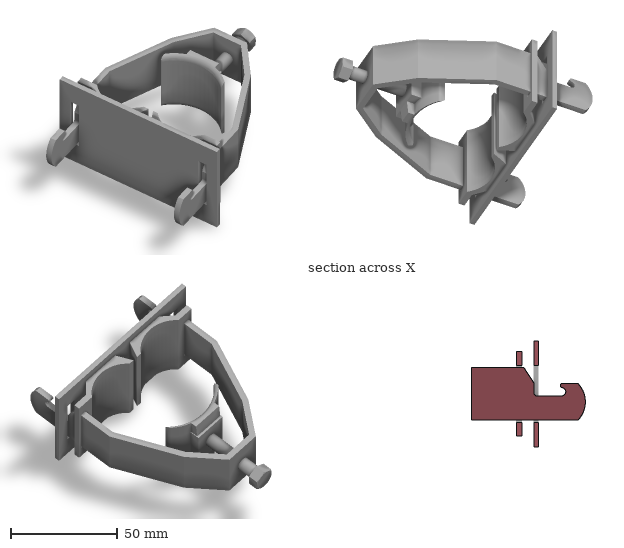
import cadquery as cq
import math


plate_width = 88.5
plate_height = 50.0
plate_thickness = 2.5

strap_thickness = 3.0
strap_height = 25.0
strap_half_width = 37.4
strap_top_y = 76.7
strap_top_half_width = 9.2
strap_bend_y = 59.8
strap_bend_half_width = 22.5
strap_leg_y = 26.0

hook_tip_y = -24.5
hook_edge_y = -20.9
hook_top_z = 5.1
hook_tongue_y = -12.5
shank_top_z = -0.8
notch_radius = 1.8
notch_center_y = -13.2
shoulder_y = 4.5
shoulder_end_y = -0.3
shoulder_end_z = 5.1
shank_fillet = 1.2

slot_height = 26.7
plate_slot_width = 5.0

saddle_length = 40.0
saddle_height = 8.2
saddle_outer_x = 39.2
saddle_inner_x = 1.3
saddle_flange_thickness = 3.0
saddle_flange_inner_x = 31.2
saddle_foot_outer_x = 25.5
saddle_foot_inner_x = 5.1
trough_center_x = 17.0
trough_half_width = 13.1
trough_depth = 6.2

bolt_diameter = 6.6
bolt_end_y = 90.7
bolt_head_length = 5.3
bolt_head_flats = 10.0
bolt_neck_radius = 3.9
bolt_neck_length = 0.9
bolt_head_chamfer_angle = 30

pad_back_y = 56.2
pad_bore_radius = 22.3
pad_bore_apex_y = 50.5
pad_wall = 2.1
pad_half_width = 17.0
pad_end_y = 43.0
pad_height = 33.9
pad_end_fillet = 1.7
pad_lip_radius = 3.0
block_width = 16.8
block_height = 19.6
lug_width = 16.1
lug_back_y = 55.1
tongue_width = 6.7
pad_draft_angle = 6

leg_center_x = strap_half_width - strap_thickness / 2
pad_center_y = pad_bore_apex_y - pad_bore_radius


def box(x_range, y_range, z_range):
    """Box between pairs of limits along X, Y and Z."""
    size = [high - low for low, high in (x_range, y_range, z_range)]
    corner = (x_range[0], y_range[0], z_range[0])
    return cq.Workplane("XY").box(*size, centered=False).translate(corner)


def slot_cutter(center_x, width, y_range):
    """Block for a slot along Y, centred on Z = 0."""
    return box(
        (center_x - width / 2, center_x + width / 2),
        y_range,
        (-slot_height / 2, slot_height / 2),
    )


def make_plate():
    plate = box(
        (-plate_width / 2, plate_width / 2),
        (-plate_thickness, 0),
        (-plate_height / 2, plate_height / 2),
    )
    for side in (-1, 1):
        plate = plate.cut(slot_cutter(side * leg_center_x, plate_slot_width, (-plate_thickness, 0)))
    return plate


def make_leg_outline():
    """Side shape of the strap in the YZ plane, with the hook at its -Y end."""
    half_height = strap_height / 2
    notch_center_z = shank_top_z + notch_radius
    notch_top_z = notch_center_z + notch_radius
    tongue_radius = (hook_top_z - notch_top_z) / 2
    tongue_center_y = hook_tongue_y - tongue_radius
    nose_middle_z = (hook_top_z - half_height) / 2
    outline = (
        cq.Workplane("YZ")
        .moveTo(strap_top_y, -half_height)
        .lineTo(strap_top_y, half_height)
        .lineTo(shoulder_y, half_height)
        .lineTo(shoulder_end_y, shoulder_end_z)
        .lineTo(shoulder_end_y, shank_top_z + shank_fillet)
        .radiusArc((shoulder_end_y - shank_fillet, shank_top_z), shank_fillet)
        .lineTo(notch_center_y, shank_top_z)
        .threePointArc(
            (notch_center_y - notch_radius, notch_center_z),
            (notch_center_y, notch_top_z),
        )
        .lineTo(tongue_center_y, notch_top_z)
        .threePointArc(
            (hook_tongue_y, notch_top_z + tongue_radius),
            (tongue_center_y, hook_top_z),
        )
        .lineTo(hook_edge_y, hook_top_z)
        .threePointArc((hook_tip_y, nose_middle_z), (hook_edge_y, -half_height))
        .close()
    )
    return outline.extrude(strap_half_width, both=True)


def make_strap():
    right_side = [
        (strap_half_width, strap_leg_y),
        (strap_bend_half_width, strap_bend_y),
        (strap_top_half_width, strap_top_y),
    ]
    left_side = [(-x, y) for x, y in reversed(right_side)]
    closing_y = hook_tip_y - strap_thickness
    corners = [(strap_half_width, closing_y)] + right_side + left_side + [(-strap_half_width, closing_y)]
    outer = cq.Workplane("XY").polyline(corners).close()
    inner = cq.Workplane("XY").polyline(corners).close().offset2D(-strap_thickness, "intersection")
    bent_bar = outer.extrude(strap_height / 2, both=True).cut(inner.extrude(strap_height / 2, both=True))
    return bent_bar.intersect(make_leg_outline()).cut(make_bolt())


def make_saddle(side):
    """Lower saddle on the +X (side = 1) or -X (side = -1) half."""
    trough_left = trough_center_x - trough_half_width
    trough_right = trough_center_x + trough_half_width
    saddle = (
        cq.Workplane("XY")
        .moveTo(saddle_foot_inner_x, 0)
        .lineTo(saddle_inner_x, saddle_height)
        .lineTo(trough_left, saddle_height)
        .threePointArc((trough_center_x, saddle_height - trough_depth), (trough_right, saddle_height))
        .lineTo(saddle_outer_x, saddle_height)
        .lineTo(saddle_outer_x, saddle_height - saddle_flange_thickness)
        .lineTo(saddle_flange_inner_x, saddle_height - saddle_flange_thickness)
        .lineTo(saddle_foot_outer_x, 0)
        .close()
        .extrude(saddle_length / 2, both=True)
        .cut(slot_cutter(leg_center_x, strap_thickness, (0, saddle_height)))
    )
    return saddle if side > 0 else saddle.mirror("YZ")


def make_bolt():
    """Hexagon bolt along Y, with its end resting on the back of the pad."""
    head_y = bolt_end_y - bolt_head_length
    flat_radius = bolt_head_flats / 2
    corner_radius = flat_radius / math.cos(math.radians(30))
    chamfer_drop = (corner_radius - flat_radius) * math.tan(math.radians(bolt_head_chamfer_angle))
    shank_radius = bolt_diameter / 2

    hexagon = (
        cq.Workplane("XZ", origin=(0, head_y, 0))
        .transformed(rotate=(0, 0, 90))
        .polygon(6, 2 * corner_radius)
        .extrude(-bolt_head_length)
    )
    crown = (
        cq.Workplane("XY")
        .polyline([
            (0, head_y),
            (corner_radius, head_y),
            (corner_radius, bolt_end_y - chamfer_drop),
            (flat_radius, bolt_end_y),
            (0, bolt_end_y),
        ])
        .close()
        .revolve(360, (0, 0, 0), (0, 1, 0))
    )
    shank = (
        cq.Workplane("XY")
        .polyline([
            (0, pad_back_y),
            (shank_radius, pad_back_y),
            (shank_radius, head_y - bolt_neck_length),
            (bolt_neck_radius, head_y),
            (0, head_y),
        ])
        .close()
        .revolve(360, (0, 0, 0), (0, 1, 0))
    )
    return hexagon.intersect(crown).union(shank)


def make_pad_rib(width, root_back_y, end_z):
    """Drafted rib from Z = 0 to end_z; its back starts to slope at the block's end face."""
    root_z = math.copysign(block_height / 2, end_z)
    end_back_y = root_back_y - abs(end_z - root_z) * math.tan(math.radians(pad_draft_angle))
    return (
        cq.Workplane("YZ")
        .polyline([
            (pad_end_y, 0),
            (root_back_y, 0),
            (root_back_y, root_z),
            (end_back_y, end_z),
            (pad_end_y, end_z),
        ])
        .close()
        .extrude(width / 2, both=True)
    )


def make_pad_bore():
    """Cylindrical bore along Z that flares out over a rounded lip at both ends."""
    half_height = pad_height / 2
    lip_start_z = half_height - pad_lip_radius
    flare_radius = pad_bore_radius + pad_lip_radius
    return (
        cq.Workplane("XZ")
        .moveTo(0, -half_height)
        .lineTo(flare_radius, -half_height)
        .radiusArc((pad_bore_radius, -lip_start_z), pad_lip_radius)
        .lineTo(pad_bore_radius, lip_start_z)
        .radiusArc((flare_radius, half_height), pad_lip_radius)
        .lineTo(0, half_height)
        .close()
        .revolve(360, (0, 0, 0), (0, 1, 0))
        .translate((0, pad_center_y, 0))
    )


def make_pad():
    half_height = pad_height / 2
    shell = (
        cq.Workplane("XY")
        .center(0, pad_center_y)
        .circle(pad_bore_radius + pad_wall)
        .extrude(half_height, both=True)
        .intersect(box(
            (-pad_half_width, pad_half_width),
            (pad_end_y, pad_back_y),
            (-half_height, half_height),
        ))
        .edges("|Z")
        .edges(">Y")
        .fillet(pad_end_fillet)
    )
    block = box(
        (-block_width / 2, block_width / 2),
        (pad_end_y, pad_back_y),
        (-block_height / 2, block_height / 2),
    )
    upper_lug = make_pad_rib(lug_width, lug_back_y, half_height)
    lower_tongue = make_pad_rib(tongue_width, pad_back_y, -half_height)
    return shell.union(block).union(upper_lug).union(lower_tongue).cut(make_pad_bore())


plate = make_plate()
strap = make_strap()
saddles = [make_saddle(side) for side in (-1, 1)]
bolt = make_bolt()
pad = make_pad()

result = cq.Compound.makeCompound([
    plate.solids().val(),
    strap.solids().val(),
    *[saddle.solids().val() for saddle in saddles],
    bolt.solids().val(),
    pad.solids().val(),
])